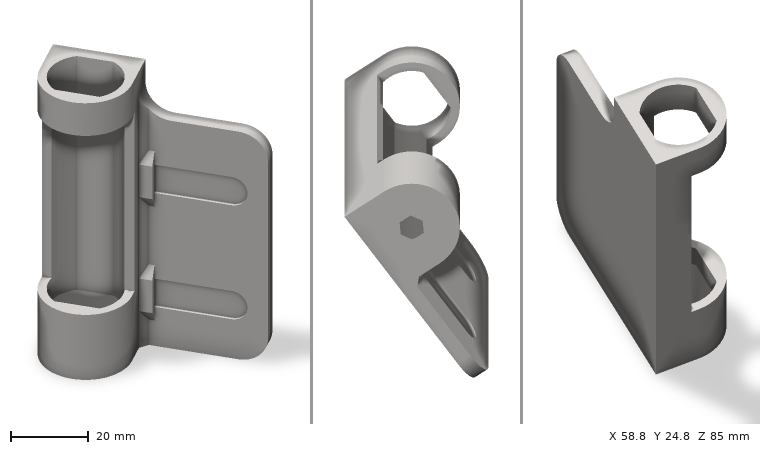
import cadquery as cq
import math

height = 85.0
barrel_width = 24.8
barrel_radius = barrel_width / 2
lower_knuckle_height = 20.0
upper_knuckle_height = 10.0
web_depth = 10.2

bore_radius = 10.0
back_flat_offset = 8.75
front_flat_offset = 8.0
bore_floor_z = 13.2
hex_across_flats = 5.95

back_joint_offset = 4.4
left_joint_angle = 178.5
front_left_joint_offset = 4.85
front_right_joint_offset = 4.0
right_joint_angle = -3.0

plate_end_x = 58.8
plate_height = 69.95
plate_thickness = 4.0
corner_radius = 8.0
root_chamfer = 2.0

feature_heights = (16.3, 51.3)
gusset_width = 3.6
gusset_base_length = 17.0
gusset_top_length = 10.0
slot_width = 8.7
slot_end_x = 53.3
slot_depth = 0.8

gusset_depth = plate_thickness + root_chamfer
gusset_end_x = barrel_width + gusset_width


def make_barrel():
    solid = (
        cq.Workplane("XY")
        .lineTo(barrel_width, 0)
        .lineTo(barrel_width, -barrel_radius)
        .threePointArc((barrel_radius, -barrel_width), (0, -barrel_radius))
        .close()
        .extrude(height)
    )
    window_height = height - lower_knuckle_height - upper_knuckle_height
    window = cq.Workplane("XY").box(
        barrel_width, barrel_width, window_height, centered=False
    ).translate((0, -web_depth - barrel_width, lower_knuckle_height))
    return solid.cut(window)


def bore_outline(z):
    back_half_width = math.sqrt(bore_radius**2 - back_flat_offset**2)
    front_half_width = math.sqrt(bore_radius**2 - front_flat_offset**2)
    return (
        cq.Workplane("XY", origin=(barrel_radius, -barrel_radius, z))
        .moveTo(back_half_width, back_flat_offset)
        .lineTo(-back_half_width, back_flat_offset)
        .threePointArc((-bore_radius, 0), (-front_half_width, -front_flat_offset))
        .lineTo(front_half_width, -front_flat_offset)
        .threePointArc((bore_radius, 0), (back_half_width, back_flat_offset))
        .close()
    )


def hex_corner(index):
    """Corner of the outlet hexagon about the bore axis, counterclockwise from the right."""
    circumradius = hex_across_flats / math.sqrt(3)
    angle = math.radians(30 + 60 * index)
    return cq.Vector(circumradius * math.cos(angle), circumradius * math.sin(angle), 0)


def make_funnel():
    """Twisted funnel: each hexagon corner runs to its own joint on the bore rim.

    Where a rim corner falls between two joints, the hexagon edge below is
    split in the same proportion, so both outlines have the same number of edges.
    """
    back_x = math.sqrt(bore_radius**2 - back_flat_offset**2)
    front_x = math.sqrt(bore_radius**2 - front_flat_offset**2)
    back_angle = math.degrees(math.asin(back_flat_offset / bore_radius))
    front_angle = math.degrees(math.asin(front_flat_offset / bore_radius))

    def rim_point(angle):
        turn = math.radians(angle)
        return cq.Vector(bore_radius * math.cos(turn), bore_radius * math.sin(turn), bore_floor_z)

    def flat_point(x, y):
        return cq.Vector(x, y, bore_floor_z)

    def rim_arc(start, end):
        points = [rim_point(angle) for angle in (start, (start + end) / 2, end)]
        return cq.Edge.makeThreePointArc(*points)

    def arc_length(start, end):
        return bore_radius * math.radians(end - start)

    back_joint = flat_point(-back_joint_offset, back_flat_offset)
    front_left_joint = flat_point(-front_left_joint_offset, -front_flat_offset)
    front_right_joint = flat_point(front_right_joint_offset, -front_flat_offset)
    back_left = 180 - back_angle
    front_left = 180 + front_angle
    front_right = 360 - front_angle
    right_joint = 360 + right_joint_angle

    rim = [
        cq.Edge.makeLine(rim_point(back_angle), back_joint),
        cq.Edge.makeLine(back_joint, rim_point(back_left)),
        rim_arc(back_left, left_joint_angle),
        rim_arc(left_joint_angle, front_left),
        cq.Edge.makeLine(rim_point(front_left), front_left_joint),
        cq.Edge.makeLine(front_left_joint, front_right_joint),
        cq.Edge.makeLine(front_right_joint, rim_point(front_right)),
        rim_arc(front_right, right_joint),
        rim_arc(right_joint, 360 + back_angle),
    ]

    split_lengths = {
        1: (back_x - back_joint_offset, arc_length(back_left, left_joint_angle)),
        2: (arc_length(left_joint_angle, front_left), front_x - front_left_joint_offset),
        4: (front_x - front_right_joint_offset, arc_length(front_right, right_joint)),
    }
    hex_points = []
    for index in range(6):
        corner = hex_corner(index)
        hex_points.append(corner)
        if index in split_lengths:
            before, after = split_lengths[index]
            side = hex_corner(index + 1) - corner
            hex_points.append(corner + side * (before / (before + after)))

    next_points = hex_points[1:] + hex_points[:1]
    outlet = [cq.Edge.makeLine(start, end) for start, end in zip(hex_points, next_points)]
    walls = [cq.Face.makeRuledSurface(low, high) for low, high in zip(outlet, rim)]
    lids = [cq.Face.makeFromWires(cq.Wire.assembleEdges(edges)) for edges in (outlet, rim)]
    funnel = cq.Solid.makeSolid(cq.Shell.makeShell(walls + lids)).fix()
    return cq.Workplane(obj=funnel).translate((barrel_radius, -barrel_radius, 0))


def make_bore():
    straight = bore_outline(bore_floor_z).extrude(height - bore_floor_z)
    return straight.union(make_funnel())


def make_plate():
    """Plate with its swept-up root, and a chamfer along the barrel."""
    arc_reach = corner_radius * math.sqrt(0.5)
    root_arc_x = barrel_width + corner_radius
    root_arc_z = plate_height + corner_radius
    outline = (
        cq.Workplane("XZ")
        .moveTo(barrel_width, 0)
        .lineTo(plate_end_x - corner_radius, 0)
        .threePointArc(
            (plate_end_x - corner_radius + arc_reach, corner_radius - arc_reach),
            (plate_end_x, corner_radius),
        )
        .lineTo(plate_end_x, plate_height - corner_radius)
        .threePointArc(
            (plate_end_x - corner_radius + arc_reach, plate_height - corner_radius + arc_reach),
            (plate_end_x - corner_radius, plate_height),
        )
        .lineTo(root_arc_x, plate_height)
        .threePointArc((root_arc_x - arc_reach, root_arc_z - arc_reach), (barrel_width, root_arc_z))
        .close()
        .extrude(gusset_depth)
    )
    cross_section = (
        cq.Workplane("XY")
        .moveTo(barrel_width, 0)
        .lineTo(plate_end_x, 0)
        .lineTo(plate_end_x, -plate_thickness)
        .lineTo(barrel_width + root_chamfer, -plate_thickness)
        .lineTo(barrel_width, -gusset_depth)
        .close()
        .extrude(height)
    )
    return outline.intersect(cross_section)


def make_gusset(z):
    return (
        cq.Workplane("YZ", origin=(barrel_width, 0, z))
        .moveTo(-plate_thickness, -gusset_base_length / 2)
        .lineTo(-gusset_depth, -gusset_top_length / 2)
        .lineTo(-gusset_depth, gusset_top_length / 2)
        .lineTo(-plate_thickness, gusset_base_length / 2)
        .close()
        .extrude(gusset_width)
    )


def make_slot(z):
    """Cutter for a shallow slot running from the gusset to a round end."""
    radius = slot_width / 2
    return (
        cq.Workplane("XZ", origin=(0, slot_depth - plate_thickness, z))
        .moveTo(gusset_end_x, -radius)
        .lineTo(slot_end_x - radius, -radius)
        .threePointArc((slot_end_x, 0), (slot_end_x - radius, radius))
        .lineTo(gusset_end_x, radius)
        .close()
        .extrude(slot_depth)
    )


result = make_barrel().union(make_plate())
for feature_z in feature_heights:
    result = result.union(make_gusset(feature_z)).cut(make_slot(feature_z))
result = result.cut(make_bore())